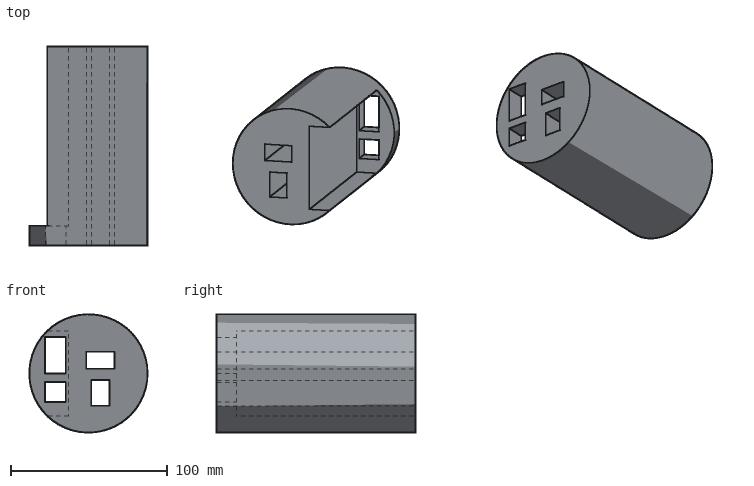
import cadquery as cq

diameter = 75.6
length = 127
end_thickness = 12.7

channel_height = 54.2
channel_floor_x = -13.0

ports = [
    (-21.1, 11.5, 13.0, 23.1),
    (-21.1, -11.8, 13.0, 12.7),
    (7.6, 8.4, 17.8, 10.7),
    (7.6, -12.5, 11.4, 16.3),
]


def block(x_min, x_max, y_min, y_max, z_min, z_max):
    """Axis-aligned box between the given limits."""
    return cq.Workplane("XY").box(
        x_max - x_min, y_max - y_min, z_max - z_min, centered=False
    ).translate((x_min, y_min, z_min))


def port_cutter(x, z, width, height):
    """Bar running the full length of the body along Y."""
    return block(x - width / 2, x + width / 2, 0, length, z - height / 2, z + height / 2)


body = cq.Workplane("XZ").circle(diameter / 2).extrude(-length)

channel = block(
    -diameter / 2, channel_floor_x,
    end_thickness, length,
    -channel_height / 2, channel_height / 2,
)
result = body.cut(channel)

for port in ports:
    result = result.cut(port_cutter(*port))